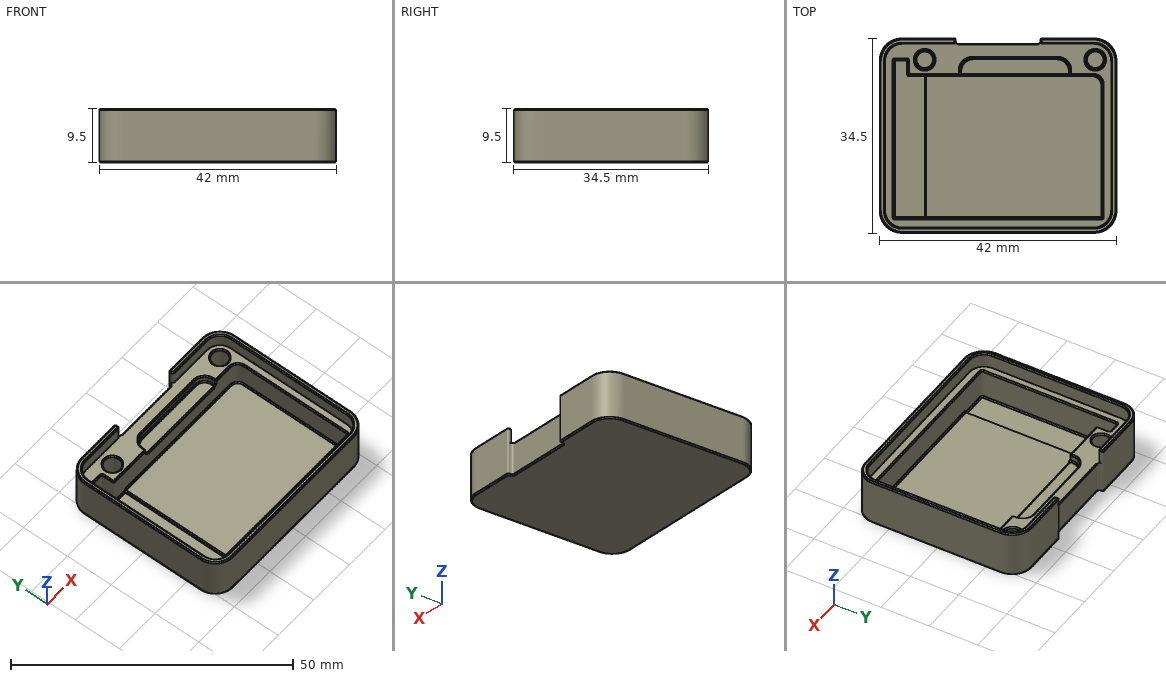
import cadquery as cq
LENGTH = 42.0
WIDTH = 34.5
HEIGHT = 9.5
CORNER_RADIUS = 4.0
EDGE_CHAMFER = 0.25

RIM_THICKNESS = 1.0
RIM_HEIGHT = 3.0
SHELF_Z = HEIGHT - RIM_HEIGHT
RIM_INNER_LENGTH = LENGTH - 2 * RIM_THICKNESS
RIM_INNER_WIDTH = WIDTH - 2 * RIM_THICKNESS

OPENING_LENGTH = 15.0
OPENING_BACK = WIDTH / 2
OPENING_FRONT = OPENING_BACK - RIM_THICKNESS
OPENING_CORNER_RADIUS = 0.5
SHELF_EDGE_BEVEL = 0.15
RIM_END_INNER_RADIUS = 0.45
RIM_END_OUTER_RADIUS = 0.3

POCKET_FLOOR_Z = 1.0
POCKET_LEFT = -18.5
POCKET_RIGHT = 18.5
POCKET_FRONT = -14.65
POCKET_BACK = 10.75
POCKET_BIG_RADIUS = 1.75
POCKET_SMALL_RADIUS = 0.3

BAY_RIGHT = -15.95
BAY_BACK = 13.5

CHANNEL_FLOOR_Z = 0.5
CHANNEL_RIGHT = -13.0

RECESS_CENTER_X = 3.0
RECESS_LENGTH = 19.5
RECESS_LEFT = RECESS_CENTER_X - RECESS_LENGTH / 2
RECESS_RIGHT = RECESS_CENTER_X + RECESS_LENGTH / 2
RECESS_BACK = 13.75
RECESS_DEPTH = 1.5
RECESS_FLOOR_Z = SHELF_Z - RECESS_DEPTH
RECESS_RADIUS = 2.25

HOLE_DIAMETER = 3.4
HOLE_FLOOR_Z = POCKET_FLOOR_Z
HOLE_CENTERS = ((-13.0, 13.45), (17.2, 13.45))

PICK_MARGIN = 0.05


def box(x_min, x_max, y_min, y_max, z_min, z_max):
    """Box given by its limits along each axis."""
    size = (x_max - x_min, y_max - y_min, z_max - z_min)
    return cq.Workplane("XY").box(*size, centered=False).translate((x_min, y_min, z_min))


def rounded_block(length, width, radius, z_min, z_max):
    """Block centred on the Z axis with rounded upright edges."""
    block = box(-length / 2, length / 2, -width / 2, width / 2, z_min, z_max)
    return block.edges("|Z").fillet(radius)


def opening_cutter(z_min, z_max):
    """Box that removes the back wall between two heights."""
    half = OPENING_LENGTH / 2
    return box(-half, half, OPENING_FRONT, OPENING_BACK, z_min, z_max)


def fillet_upright_edge(solid, x, y, radius):
    """Round the upright edge of a solid that stands at (x, y)."""
    column = cq.selectors.BoxSelector(
        (x - PICK_MARGIN, y - PICK_MARGIN, 0), (x + PICK_MARGIN, y + PICK_MARGIN, HEIGHT)
    )
    return solid.edges("|Z").edges(column).fillet(radius)


def make_base():
    """Block below the shelf, with a round-cornered opening at the back."""
    base = rounded_block(LENGTH, WIDTH, CORNER_RADIUS, 0, SHELF_Z)
    opening = opening_cutter(0, SHELF_Z).edges("|Z and <Y").fillet(OPENING_CORNER_RADIUS)
    return base.cut(opening)


def make_rim():
    """Rim above the shelf, with its inner corners rounded at both ends."""
    rim = rounded_block(LENGTH, WIDTH, CORNER_RADIUS, SHELF_Z, HEIGHT)
    inside = rounded_block(
        RIM_INNER_LENGTH, RIM_INNER_WIDTH, CORNER_RADIUS - RIM_THICKNESS, SHELF_Z, HEIGHT
    )
    rim = rim.cut(inside).cut(opening_cutter(SHELF_Z, HEIGHT))
    for side in (-1, 1):
        end_x = side * OPENING_LENGTH / 2
        rim = fillet_upright_edge(rim, end_x, OPENING_FRONT, RIM_END_INNER_RADIUS)
    return rim


def make_shelf_edge_bevel():
    """Cutting volume of the bevel on the shelf edge, between the opening's round corners."""
    half = OPENING_LENGTH / 2 - OPENING_CORNER_RADIUS
    profile = [
        (OPENING_FRONT, SHELF_Z),
        (OPENING_FRONT - SHELF_EDGE_BEVEL, SHELF_Z),
        (OPENING_FRONT, SHELF_Z - SHELF_EDGE_BEVEL),
    ]
    return cq.Workplane("YZ").polyline(profile).close().extrude(half, both=True)


def make_body():
    """Base and rim together, with their outer edges broken."""
    body = make_base().union(make_rim()).clean()
    for side in (-1, 1):
        end_x = side * OPENING_LENGTH / 2
        body = fillet_upright_edge(body, end_x, OPENING_BACK, RIM_END_OUTER_RADIUS)
    body = body.faces(">Z or <Z").chamfer(EDGE_CHAMFER)
    return body.cut(make_shelf_edge_bevel())


def make_pocket(floor_z):
    """Cutting volume of the pocket and its bay down to a floor with a chamfered edge."""
    pocket = box(POCKET_LEFT, POCKET_RIGHT, POCKET_FRONT, POCKET_BACK, floor_z, SHELF_Z)
    bay = box(POCKET_LEFT, BAY_RIGHT, POCKET_FRONT, BAY_BACK, floor_z, SHELF_Z)
    pocket = pocket.union(bay).clean()
    pocket = fillet_upright_edge(pocket, POCKET_RIGHT, POCKET_BACK, POCKET_BIG_RADIUS)
    small_corners = (
        (POCKET_LEFT, POCKET_FRONT),
        (POCKET_RIGHT, POCKET_FRONT),
        (POCKET_LEFT, BAY_BACK),
        (BAY_RIGHT, BAY_BACK),
        (BAY_RIGHT, POCKET_BACK),
    )
    for x, y in small_corners:
        pocket = fillet_upright_edge(pocket, x, y, POCKET_SMALL_RADIUS)
    return pocket.faces("<Z").chamfer(EDGE_CHAMFER)


def make_channel():
    """Part of the pocket that is sunk deeper, left of a step with a bevelled top edge."""
    step_top = CHANNEL_RIGHT + EDGE_CHAMFER
    profile = [
        (POCKET_LEFT, 0),
        (CHANNEL_RIGHT, 0),
        (CHANNEL_RIGHT, POCKET_FLOOR_Z - EDGE_CHAMFER),
        (step_top, POCKET_FLOOR_Z),
        (step_top, SHELF_Z),
        (POCKET_LEFT, SHELF_Z),
    ]
    left_region = cq.Workplane("XZ").polyline(profile).close().extrude(WIDTH / 2, both=True)
    return make_pocket(CHANNEL_FLOOR_Z).intersect(left_region)


def make_recess():
    """Cutting volume of the finger recess, overlapping the pocket at the front."""
    recess = box(
        RECESS_LEFT, RECESS_RIGHT, POCKET_BACK - RECESS_RADIUS, RECESS_BACK, RECESS_FLOOR_Z, SHELF_Z
    )
    recess = recess.edges("|Z and >Y").fillet(RECESS_RADIUS)
    return recess.faces("<Z").chamfer(EDGE_CHAMFER)


def make_holes():
    """Cutting volume of the blind holes, with a chamfer at the foot."""
    holes = cq.Workplane("XY").workplane(offset=HOLE_FLOOR_Z).pushPoints(HOLE_CENTERS)
    holes = holes.circle(HOLE_DIAMETER / 2).extrude(SHELF_Z - HOLE_FLOOR_Z)
    return holes.faces("<Z").chamfer(EDGE_CHAMFER)


def chamfer_shelf_openings(part):
    """Chamfer the openings in the shelf and the edges where the recess meets the pocket."""
    shelf_level = cq.selectors.BoxSelector(
        (-LENGTH, -WIDTH, SHELF_Z - PICK_MARGIN), (LENGTH, WIDTH, SHELF_Z + PICK_MARGIN)
    )
    shelf = part.faces("|Z").faces(shelf_level)
    edges = []
    for wire in shelf.val().innerWires():
        edges.extend(wire.Edges())
    recess_mid_z = (SHELF_Z + RECESS_FLOOR_Z) / 2
    junctions = (
        (RECESS_CENTER_X, RECESS_FLOOR_Z),
        (RECESS_LEFT, recess_mid_z),
        (RECESS_RIGHT, recess_mid_z),
    )
    for x, z in junctions:
        edges.extend(part.edges(cq.selectors.NearestToPointSelector((x, POCKET_BACK, z))).vals())
    return part.newObject(edges).chamfer(EDGE_CHAMFER)


part = make_body().cut(make_pocket(POCKET_FLOOR_Z)).cut(make_recess()).cut(make_holes())
part = chamfer_shelf_openings(part)
result = part.cut(make_channel())